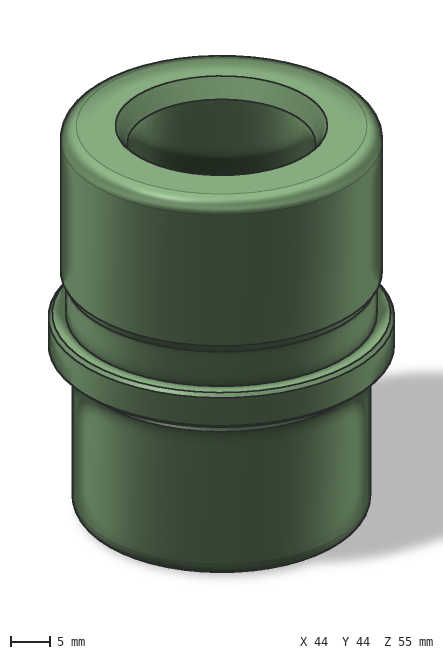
import cadquery as cq
import math

height = 55.0
flange_radius = 22.0
upper_radius = 20.45
relief_radius = 19.8
lower_radius = 19.0
bore_radius = 12.0

flange_bottom = 23.0
flange_top = 28.0
relief_top = 32.95
relief_taper_height = 1.2

end_fillet = 2.0
flange_chamfer = 0.5
bore_mouth_radius = 13.5
bore_mouth_depth = 2.6

undercut_radius = 18.25
undercut_arc_radius = 2.0
undercut_center_drop = 0.45
undercut_center_level = flange_bottom - undercut_center_drop
undercut_reach = undercut_radius + undercut_arc_radius - lower_radius
undercut_bottom = undercut_center_level - math.sqrt(undercut_arc_radius**2 - undercut_reach**2)


def undercut_profile_at(level):
    """Distance from the bush axis to the undercut arc at a given level."""
    rise = level - undercut_center_level
    return undercut_radius + undercut_arc_radius - math.sqrt(undercut_arc_radius**2 - rise**2)


def revolved_body():
    """Solid bush: lower spigot, undercut, flange, relief and upper barrel."""
    outline = (
        cq.Workplane("XZ")
        .lineTo(lower_radius, 0)
        .lineTo(lower_radius, undercut_bottom)
        .threePointArc(
            (undercut_radius, undercut_center_level),
            (undercut_profile_at(flange_bottom), flange_bottom),
        )
        .lineTo(flange_radius - flange_chamfer, flange_bottom)
        .lineTo(flange_radius, flange_bottom + flange_chamfer)
        .lineTo(flange_radius, flange_top - flange_chamfer)
        .lineTo(flange_radius - flange_chamfer, flange_top)
        .lineTo(relief_radius, flange_top)
        .lineTo(relief_radius, relief_top)
        .lineTo(upper_radius, relief_top + relief_taper_height)
        .lineTo(upper_radius, height)
        .lineTo(0, height)
        .close()
    )
    return outline.revolve(360, (0, 0, 0), (0, 1, 0))


def bore_cutter():
    """Through bore with a conical lead-in at the top."""
    outline = [
        (0, 0),
        (bore_radius, 0),
        (bore_radius, height - bore_mouth_depth),
        (bore_mouth_radius, height),
        (0, height),
    ]
    profile = cq.Workplane("XZ").polyline(outline).close()
    return profile.revolve(360, (0, 0, 0), (0, 1, 0))


body = revolved_body().faces("<Z or >Z").edges().fillet(end_fillet)
result = body.cut(bore_cutter())